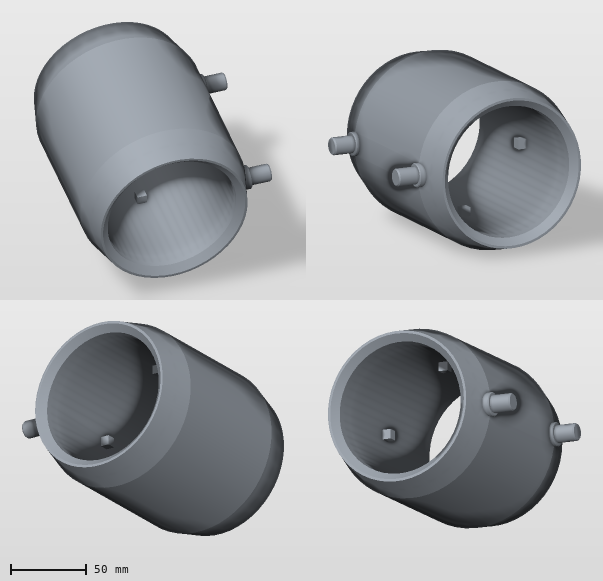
import cadquery as cq

length = 142.0
outer_radius = 57.4
end_radius = 51.1
bore_radius = 44.7
mouth_radius = 49.4
mouth_depth = mouth_radius - bore_radius
straight_half_length = length / 3
wall_middle_radius = (outer_radius + bore_radius) / 2

terminal_x = straight_half_length
terminal_tip = 74.1
pin_radius = 6.0
pin_chamfer_height = 1.0
pin_chamfer_inset = 0.7
flange_radius = 8.1
flange_top = 59.8
flange_chamfer = 0.5

stop_width = 6.5
stop_tip_radius = 38.6
stop_count = 4


def make_sleeve():
    """Tapered tube with a conical mouth at each end."""
    half_length = length / 2
    mouth_start = half_length - mouth_depth
    return (
        cq.Workplane("XY")
        .moveTo(-mouth_start, bore_radius)
        .lineTo(-half_length, mouth_radius)
        .lineTo(-half_length, end_radius)
        .lineTo(-straight_half_length, outer_radius)
        .lineTo(straight_half_length, outer_radius)
        .lineTo(half_length, end_radius)
        .lineTo(half_length, mouth_radius)
        .lineTo(mouth_start, bore_radius)
        .close()
        .revolve(360, (0, 0, 0), (1, 0, 0))
    )


def make_terminal(x):
    """Chamfered pin on a flange, rooted inside the sleeve wall."""
    return (
        cq.Workplane("XY")
        .moveTo(0, wall_middle_radius)
        .lineTo(flange_radius, wall_middle_radius)
        .lineTo(flange_radius, flange_top - flange_chamfer)
        .lineTo(flange_radius - flange_chamfer, flange_top)
        .lineTo(pin_radius, flange_top)
        .lineTo(pin_radius, terminal_tip - pin_chamfer_height)
        .lineTo(pin_radius - pin_chamfer_inset, terminal_tip)
        .lineTo(0, terminal_tip)
        .close()
        .revolve(360, (0, 0, 0), (0, 1, 0))
        .translate((x, 0, 0))
    )


def make_stop(angle):
    """Square block reaching inward from the wall at the given angle about X."""
    return (
        cq.Workplane("XY")
        .workplane(offset=stop_tip_radius)
        .rect(stop_width, stop_width)
        .extrude(wall_middle_radius - stop_tip_radius)
        .rotate((0, 0, 0), (1, 0, 0), angle)
    )


result = make_sleeve()
for side in (-1, 1):
    result = result.union(make_terminal(side * terminal_x))
for index in range(stop_count):
    result = result.union(make_stop(index * 360 / stop_count))